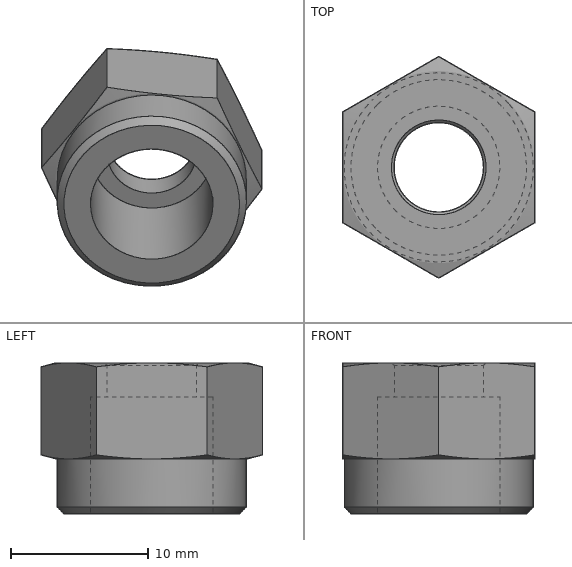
import cadquery as cq
import math

total_height = 11.0
across_flats = 14.0
hexagon_sides = 6
half_side_angle = 180 / hexagon_sides
across_corners = across_flats / math.cos(math.radians(half_side_angle))

head_height = 7.0
head_bottom = total_height - head_height
corner_chamfer_angle = 15.0
chamfer_circle_radius = across_flats / 2

collar_diameter = 13.8
collar_chamfer = 0.5

bore_diameter = 6.5
bore_chamfer = 0.2
socket_diameter = 8.92
top_wall = 2.5
socket_depth = total_height - top_wall


def chamfered_head():
    """Hexagon with corners on the Y axis, turned off to a cone at both ends."""
    hexagon = (
        cq.Workplane("XY")
        .workplane(offset=head_bottom)
        .polygon(hexagon_sides, across_corners)
        .extrude(head_height)
        .rotate((0, 0, 0), (0, 0, 1), half_side_angle)
    )
    corner_radius = across_corners / 2
    corner_drop = (corner_radius - chamfer_circle_radius) * math.tan(math.radians(corner_chamfer_angle))
    turned_blank = (
        cq.Workplane("XZ")
        .moveTo(0, head_bottom)
        .lineTo(chamfer_circle_radius, head_bottom)
        .lineTo(corner_radius, head_bottom + corner_drop)
        .lineTo(corner_radius, total_height - corner_drop)
        .lineTo(chamfer_circle_radius, total_height)
        .lineTo(0, total_height)
        .close()
        .revolve(360, (0, 0, 0), (0, 1, 0))
    )
    return hexagon.intersect(turned_blank)


def collar():
    """Round collar with a chamfered lower rim."""
    return (
        cq.Workplane("XY")
        .circle(collar_diameter / 2)
        .extrude(head_bottom)
        .faces("<Z")
        .chamfer(collar_chamfer)
    )


def stepped_bore():
    """Bore with a chamfered upper rim and a wider socket open at the bottom."""
    socket = cq.Workplane("XY").circle(socket_diameter / 2).extrude(socket_depth)
    bore = cq.Workplane("XY").circle(bore_diameter / 2).extrude(total_height)
    rim = (
        cq.Workplane("XY")
        .workplane(offset=total_height - bore_chamfer)
        .circle(bore_diameter / 2)
        .workplane(offset=bore_chamfer)
        .circle(bore_diameter / 2 + bore_chamfer)
        .loft()
    )
    return socket.union(bore).union(rim)


result = chamfered_head().union(collar()).cut(stepped_bore())